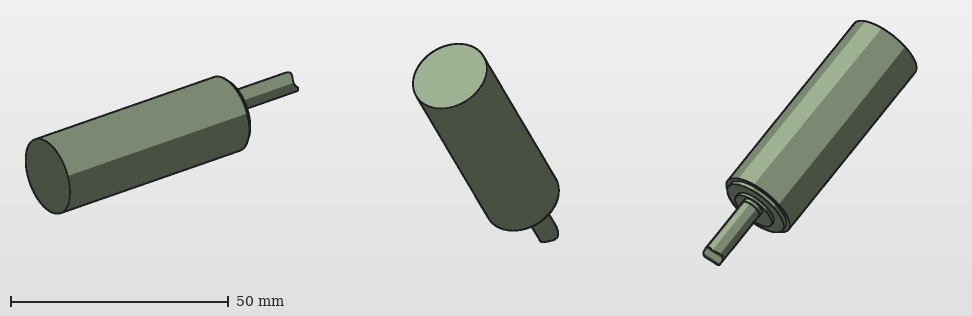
import cadquery as cq

total_length = 68.4

body_diameter = 18.0
body_length = 50.0
step_diameter = 16.0
step_length = 1.0
disc_diameter = 10.4
disc_length = 0.8

collar_diameter = 5.0
collar_length = 1.0
cable_diameter = 4.9
cable_height = 2.5

wave_depth = 0.65

step_end = body_length + step_length
disc_end = step_end + disc_length
collar_end = disc_end + collar_length
wave_middle = total_length - wave_depth


def cylinder(diameter, start, end, height=0):
    """Cylinder parallel to Y between two stations, raised by height along Z."""
    return (
        cq.Workplane("XZ", origin=(0, start, height))
        .circle(diameter / 2)
        .extrude(start - end)
    )


def make_cable():
    """Cable whose free end is hollow in its upper half and bulged in its lower half."""
    radius = cable_diameter / 2
    top = cable_height + radius
    bottom = cable_height - radius
    side_profile = (
        cq.Workplane("YZ")
        .moveTo(collar_end, bottom)
        .lineTo(wave_middle, bottom)
        .threePointArc((total_length, cable_height - radius / 2), (wave_middle, cable_height))
        .threePointArc((wave_middle - wave_depth, cable_height + radius / 2), (wave_middle, top))
        .lineTo(collar_end, top)
        .close()
        .extrude(cable_diameter, both=True)
    )
    return cylinder(cable_diameter, collar_end, total_length, cable_height).intersect(side_profile)


body = cylinder(body_diameter, 0, body_length)
step = cylinder(step_diameter, body_length, step_end)
disc = cylinder(disc_diameter, step_end, disc_end)
collar = cylinder(collar_diameter, disc_end, collar_end, cable_height)

result = body.union(step).union(disc).union(collar).union(make_cable())